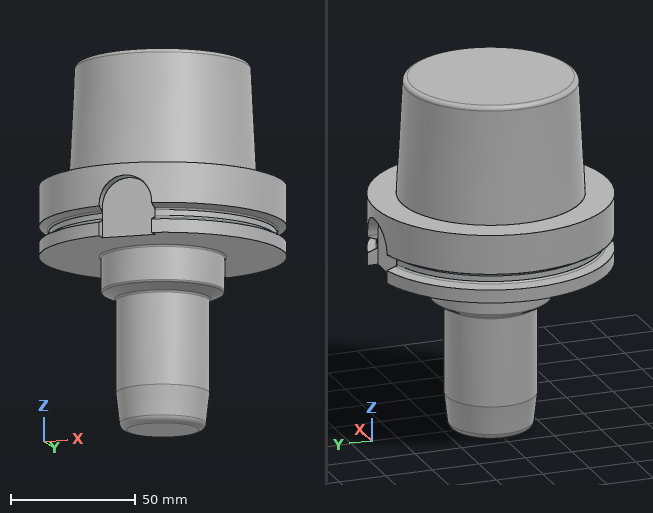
import cadquery as cq

total_height = 150.0

head_height = 50.0
head_base_radius = 38.1
head_top_radius = 35.5
head_edge_radius = 2.0

flange_radius = 100.0 / 2
flange_thickness = 29.0
groove_height = 6.8
groove_above_flange_bottom = 5.5
groove_root_height = 3.6
groove_root_fillet = 0.9
groove_depth = 4.0

neck_radius = 50.0 / 2
neck_bottom = 53.4
neck_fillet = 0.8
neck_shoulder_height = 2.8
neck_shoulder_fillet = 0.9

shank_radius = 38.0 / 2
tip_taper_height = 15.0
tip_radius = 17.2
tip_edge_radius = 3.0

slot_width = 22.2
slot_top_below_flange = 5.0
slot_floor_distance = 44.4

flange_top = total_height - head_height
flange_bottom = flange_top - flange_thickness
groove_bottom = flange_bottom + groove_above_flange_bottom
groove_top = groove_bottom + groove_height
groove_side_height = (groove_height - groove_root_height) / 2
groove_root_radius = flange_radius - groove_depth
groove_root_edges = (groove_bottom + groove_side_height, groove_top - groove_side_height)
neck_shoulder_top = neck_bottom + neck_shoulder_height

selection_margin = 0.2


def round_edges(body, radius, edge_heights):
    """Fillet the circular edges lying at the given heights."""
    for height in edge_heights:
        edges = body.edges(cq.selectors.BoxSelector(
            (-flange_radius, -flange_radius, height - selection_margin),
            (flange_radius, flange_radius, height + selection_margin),
        ))
        body = edges.fillet(radius)
    return body


def make_body():
    """Revolve the half-profile of head, flange, neck and shank about Z."""
    profile = (
        cq.Workplane("XZ")
        .lineTo(tip_radius, 0)
        .lineTo(shank_radius, tip_taper_height)
        .lineTo(shank_radius, neck_bottom)
        .lineTo(neck_radius, neck_shoulder_top)
        .lineTo(neck_radius, flange_bottom - neck_fillet)
        .radiusArc((neck_radius + neck_fillet, flange_bottom), neck_fillet)
        .lineTo(flange_radius, flange_bottom)
        .lineTo(flange_radius, groove_bottom)
        .lineTo(groove_root_radius, groove_root_edges[0])
        .lineTo(groove_root_radius, groove_root_edges[1])
        .lineTo(flange_radius, groove_top)
        .lineTo(flange_radius, flange_top)
        .lineTo(head_base_radius, flange_top)
        .lineTo(head_top_radius, total_height)
        .lineTo(0, total_height)
        .close()
    )
    body = profile.revolve(360, (0, 0, 0), (0, 1, 0))
    body = round_edges(body, groove_root_fillet, groove_root_edges)
    body = round_edges(body, neck_shoulder_fillet, (neck_bottom, neck_shoulder_top))
    body = body.faces(">Z").edges().fillet(head_edge_radius)
    return body.faces("<Z").edges().fillet(tip_edge_radius)


def make_slot_cutter():
    """Round-topped slot, open at the flange bottom, on the -Y side."""
    half_width = slot_width / 2
    slot_top = flange_top - slot_top_below_flange
    arc_start = slot_top - half_width
    return (
        cq.Workplane("XZ", origin=(0, -slot_floor_distance, 0))
        .moveTo(-half_width, flange_bottom)
        .lineTo(half_width, flange_bottom)
        .lineTo(half_width, arc_start)
        .threePointArc((0, slot_top), (-half_width, arc_start))
        .close()
        .extrude(flange_radius)
    )


result = make_body()
slot_cutter = make_slot_cutter()
for angle in (0, 180):
    result = result.cut(slot_cutter.rotate((0, 0, 0), (0, 0, 1), angle))